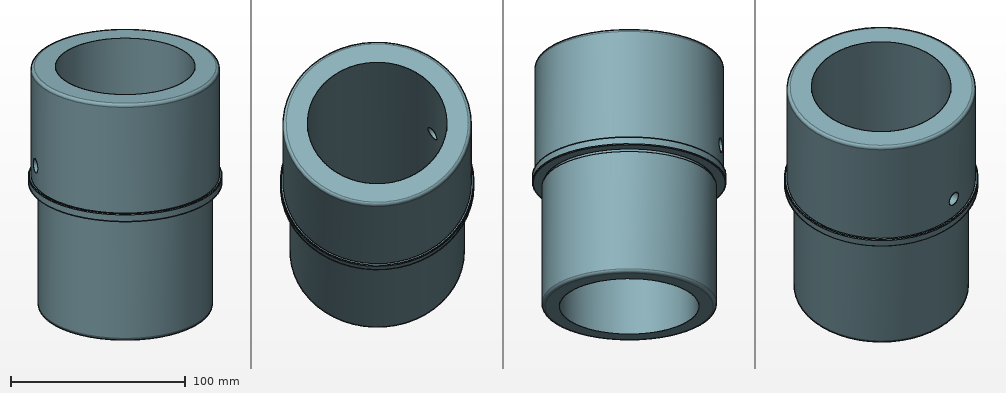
import cadquery as cq

total_height = 150.0
flange_bottom = 77.0
flange_thickness = 5.0
flange_top = flange_bottom + flange_thickness

bore_radius = 40.0
spigot_radius = 50.0
head_radius = 54.0
flange_radius = 55.5

head_round = 1.85
spigot_round = 1.85
flange_chamfer = 0.5
neck_depth = 1.0
neck_height = 2.0

oil_hole_diameter = 8.3
oil_hole_height = 95.0


def make_sleeve():
    """Revolve the stepped wall section, in (radius, height), about Z."""
    neck_radius = spigot_radius - neck_depth
    neck_curve_radius = (neck_depth**2 + neck_height**2) / (2 * neck_depth)
    section = (
        cq.Workplane("XZ")
        .moveTo(bore_radius, 0)
        .lineTo(spigot_radius - spigot_round, 0)
        .radiusArc((spigot_radius, spigot_round), -spigot_round)
        .lineTo(spigot_radius, flange_bottom - neck_height)
        .radiusArc((neck_radius, flange_bottom), neck_curve_radius)
        .lineTo(flange_radius - flange_chamfer, flange_bottom)
        .lineTo(flange_radius, flange_bottom + flange_chamfer)
        .lineTo(flange_radius, flange_top - flange_chamfer)
        .lineTo(flange_radius - flange_chamfer, flange_top)
        .lineTo(head_radius, flange_top)
        .lineTo(head_radius, total_height - head_round)
        .radiusArc((head_radius - head_round, total_height), -head_round)
        .lineTo(bore_radius, total_height)
        .close()
    )
    return section.revolve(360, (0, 0, 0), (0, 1, 0))


def make_oil_hole():
    """Cylinder running from the axis out past the -Y side of the wall."""
    return (
        cq.Workplane("XZ")
        .center(0, oil_hole_height)
        .circle(oil_hole_diameter / 2)
        .extrude(flange_radius)
    )


result = make_sleeve().cut(make_oil_hole())